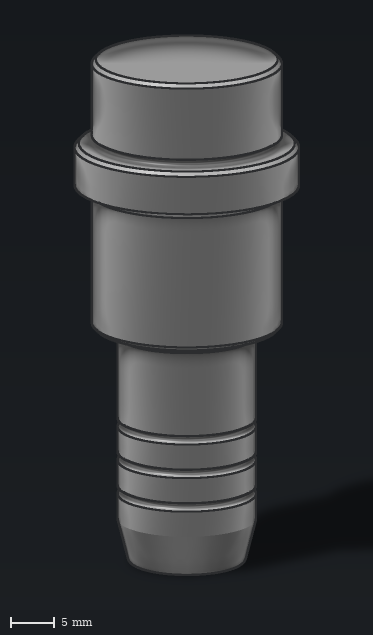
import cadquery as cq

total_height = 60.0
flange_diameter = 26.0
body_diameter = 22.0
barb_diameter = 16.0
tip_diameter = 13.5
neck_diameter = 15.0

body_bottom = 28.0
flange_bottom = 45.0
flange_top = 50.0
neck_height = 1.0

edge_chamfer = 0.5
tip_fillet = 0.5
groove_radius = 0.5

taper_height = 5.0
first_groove_height = 8.5
groove_pitch = 4.0
barb_groove_count = 3


def cylinder(diameter, bottom, top):
    """Solid cylinder on the Z axis between two heights."""
    return cq.Workplane("XY").workplane(offset=bottom).circle(diameter / 2).extrude(top - bottom)


def round_groove(diameter, height):
    """Ring that cuts a semicircular groove into a cylinder of the given diameter."""
    return cq.Workplane("XY").add(cq.Solid.makeTorus(diameter / 2, groove_radius, cq.Vector(0, 0, height)))


def hose_barb():
    """Grooved hose end with a tapered, rounded tip."""
    barb_top = body_bottom - neck_height
    taper = (
        cq.Workplane("XY")
        .circle(tip_diameter / 2)
        .workplane(offset=taper_height)
        .circle(barb_diameter / 2)
        .loft(ruled=True)
        .faces("<Z")
        .edges()
        .fillet(tip_fillet)
    )
    barb = cylinder(barb_diameter, taper_height, barb_top).union(taper)
    for index in range(barb_groove_count):
        groove_height = first_groove_height + index * groove_pitch
        barb = barb.cut(round_groove(barb_diameter, groove_height))
    return barb


def plug_body():
    """Cylindrical body with chamfered ends and a groove on each side of the flange."""
    body = cylinder(body_diameter, body_bottom, total_height).edges("%CIRCLE").chamfer(edge_chamfer)
    for groove_height in (flange_bottom - groove_radius, flange_top + groove_radius):
        body = body.cut(round_groove(body_diameter, groove_height))
    return body


def flange():
    """Collar with its upper rim chamfered."""
    return cylinder(flange_diameter, flange_bottom, flange_top).faces(">Z").chamfer(edge_chamfer)


neck = cylinder(neck_diameter, body_bottom - neck_height, body_bottom)

result = hose_barb().union(neck).union(plug_body()).union(flange())